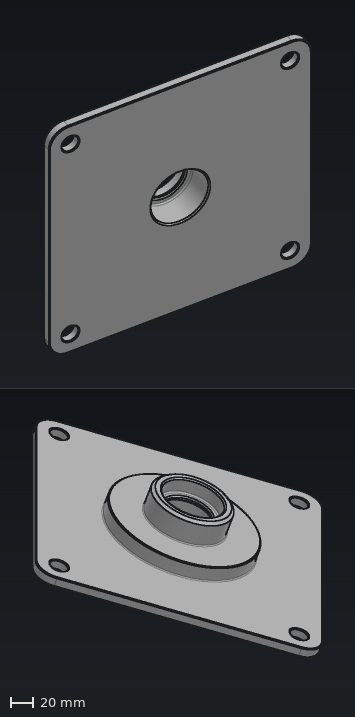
import cadquery as cq
PLATE_SIDE = 270.0
PLATE_THICKNESS = 10.0
CORNER_RADIUS = 20.0
EDGE_CHAMFER = 1.0

FIXING_HOLE_DIAMETER = 17.0
FIXING_HOLE_SPACING = 226.0

FLANGE_DIAMETER = 144.0
FLANGE_LENGTH = 15.0
HUB_DIAMETER = 78.0
HUB_LENGTH = 25.0
HUB_TIP_CHAMFER = 3.0
ROOT_FILLET = 1.0

SEAT_DIAMETER = 59.0
FRONT_SEAT_DEPTH = 15.0
SHOULDER_DIAMETER = 46.0
SHOULDER_LENGTH = 5.0
BORE_CHAMFER = 1.5
SEAT_FILLET = 1.5

HUB_TIP_X = 0.0
FLANGE_FACE_X = HUB_TIP_X + HUB_LENGTH
PLATE_FACE_X = FLANGE_FACE_X + FLANGE_LENGTH
PLATE_BACK_X = PLATE_FACE_X + PLATE_THICKNESS
SHOULDER_FRONT_X = HUB_TIP_X + FRONT_SEAT_DEPTH
SHOULDER_BACK_X = SHOULDER_FRONT_X + SHOULDER_LENGTH


def revolve_about_x(profile):
    """Close a half profile drawn in the XZ plane and turn it about the X axis."""
    return profile.close().revolve(360, (0, 0, 0), (1, 0, 0))


def make_plate():
    plate = cq.Workplane("YZ", origin=(PLATE_FACE_X, 0, 0))
    plate = plate.rect(PLATE_SIDE, PLATE_SIDE).extrude(PLATE_THICKNESS)
    plate = plate.edges("|X").fillet(CORNER_RADIUS)
    return plate.faces("<X or >X").edges().chamfer(EDGE_CHAMFER)


def make_step(start_x, length, diameter, tip_chamfer):
    """Round step with a chamfered -X rim and a concave fillet around its root."""
    radius = diameter / 2
    end_x = start_x + length
    profile = (
        cq.Workplane("XZ")
        .moveTo(start_x, 0)
        .lineTo(start_x, radius - tip_chamfer)
        .lineTo(start_x + tip_chamfer, radius)
        .lineTo(end_x - ROOT_FILLET, radius)
        .radiusArc((end_x, radius + ROOT_FILLET), -ROOT_FILLET)
        .lineTo(end_x, 0)
    )
    return revolve_about_x(profile)


def make_hole(start_x, end_x, diameter, chamfer):
    """Cutter for a through hole along X, chamfered at both mouths."""
    radius = diameter / 2
    profile = (
        cq.Workplane("XZ")
        .moveTo(start_x, 0)
        .lineTo(start_x, radius + chamfer)
        .lineTo(start_x + chamfer, radius)
        .lineTo(end_x - chamfer, radius)
        .lineTo(end_x, radius + chamfer)
        .lineTo(end_x, 0)
    )
    return revolve_about_x(profile)


def make_seat(depth):
    """Cutter for a seat entered from X = 0 toward +X: chamfered mouth, filleted floor."""
    radius = SEAT_DIAMETER / 2
    profile = (
        cq.Workplane("XZ")
        .lineTo(0, radius + BORE_CHAMFER)
        .lineTo(BORE_CHAMFER, radius)
        .lineTo(depth - SEAT_FILLET, radius)
        .radiusArc((depth, radius - SEAT_FILLET), SEAT_FILLET)
        .lineTo(depth, 0)
    )
    return revolve_about_x(profile)


def cut_bore(body):
    front_seat = make_seat(FRONT_SEAT_DEPTH).translate((HUB_TIP_X, 0, 0))
    back_seat = make_seat(PLATE_BACK_X - SHOULDER_BACK_X).mirror("YZ").translate((PLATE_BACK_X, 0, 0))
    shoulder_hole = make_hole(SHOULDER_FRONT_X, SHOULDER_BACK_X, SHOULDER_DIAMETER, BORE_CHAMFER)
    return body.cut(front_seat).cut(back_seat).cut(shoulder_hole)


def cut_fixing_holes(body):
    hole = make_hole(PLATE_FACE_X, PLATE_BACK_X, FIXING_HOLE_DIAMETER, EDGE_CHAMFER)
    offset = FIXING_HOLE_SPACING / 2
    for y in (-offset, offset):
        for z in (-offset, offset):
            body = body.cut(hole.translate((0, y, z)))
    return body


plate = make_plate()
flange = make_step(FLANGE_FACE_X, FLANGE_LENGTH, FLANGE_DIAMETER, EDGE_CHAMFER)
hub = make_step(HUB_TIP_X, HUB_LENGTH, HUB_DIAMETER, HUB_TIP_CHAMFER)
body = plate.union(flange).union(hub)
result = cut_fixing_holes(cut_bore(body))